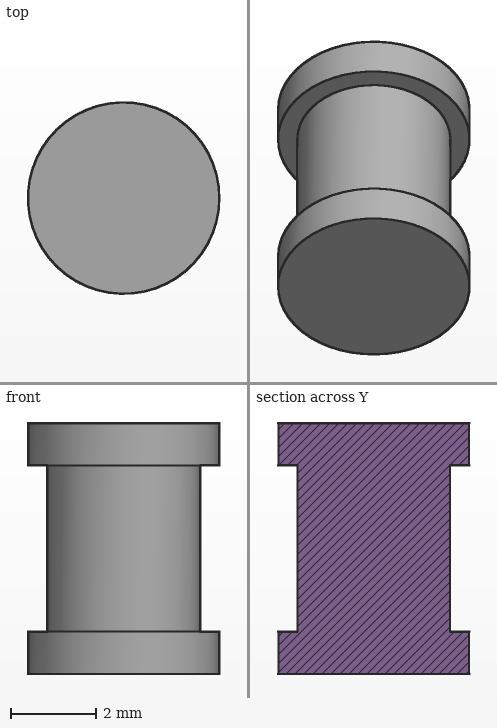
import cadquery as cq

total_height = 5.9
flange_diameter = 4.5
core_diameter = 3.6
flange_thickness = 1.0


def disc(diameter, height, base_z):
    """Solid cylinder on the Z axis, rising from base_z."""
    return cq.Workplane("XY").workplane(offset=base_z).circle(diameter / 2).extrude(height)


bottom_flange = disc(flange_diameter, flange_thickness, -total_height / 2)
top_flange = disc(flange_diameter, flange_thickness, total_height / 2 - flange_thickness)
core = disc(core_diameter, total_height, -total_height / 2)

result = core.union(bottom_flange).union(top_flange).clean()